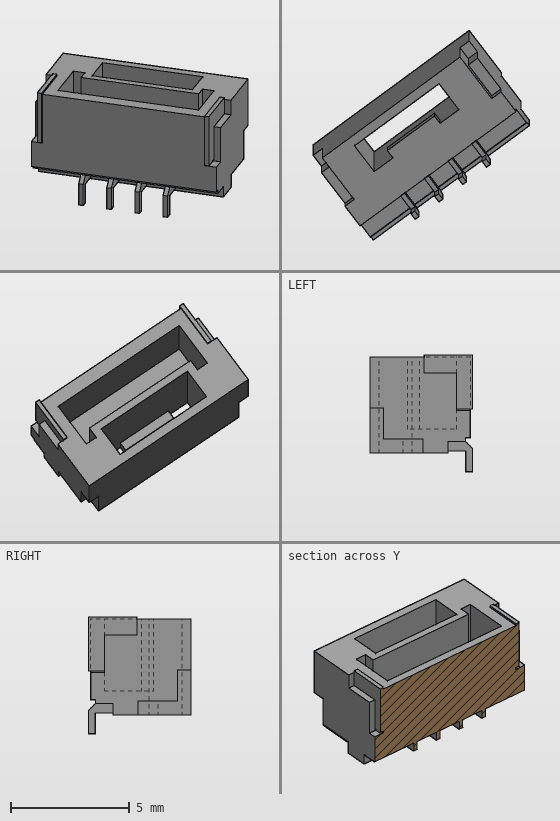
import cadquery as cq


width = 8.25
body_depth = 4.25
body_bottom = 0.8
body_top = 4.87
foot_depth = 3.31
pin_ceiling = 1.29
lip_depth = 4.05
lip_bottom = 1.44

plate_inset = 0.3
plate_thickness = 0.19
plate_back = 2.29
plate_leg_back = 3.66
plate_front = 4.35
plate_arm_bottom = 4.19
plate_bottom = 2.66
plate_top = 4.95
recess_bottom = 2.6
recess_width = plate_inset + plate_thickness

notch_leg_depth = 0.585
notch_depth = 2.24
notch_top = 2.71
notch_arm_top = 1.395

slot_width = 6.27
slot_back = 2.1
slot_front = 3.66
slot_floor = 1.815
groove_width = 0.51
groove_back = 1.6

window_width = 4.47
window_back = 0.4
window_front = 1.79
tab_width = 2.49
tab_back = 1.395
tab_top = 1.395

pin_count = 4
pin_pitch = 1.25
pin_width = 0.21
pin_arm_bottom = 0.88
pin_bend_bottom = 0.99


def box(x_min, x_max, back, front, bottom, top):
    """Block between two depths measured forward from the back face."""
    size = (x_max - x_min, front - back, top - bottom)
    return cq.Workplane("XY").box(*size, centered=False).translate((x_min, -front, bottom))


def centred_box(x_size, back, front, bottom, top):
    return box(-x_size / 2, x_size / 2, back, front, bottom, top)


def side_profile(points, x_start, x_size):
    """Extrude a (depth, height) outline along +X."""
    outline = [(-depth, height) for depth, height in points]
    return cq.Workplane("YZ", origin=(x_start, 0, 0)).polyline(outline).close().extrude(x_size)


def both_ends(shape):
    return shape.union(shape.mirror("YZ"))


def plate_outline(front, bottom):
    return [
        (plate_back, plate_top),
        (front, plate_top),
        (front, bottom),
        (plate_leg_back, bottom),
        (plate_leg_back, plate_arm_bottom),
        (plate_back, plate_arm_bottom),
    ]


def make_housing():
    outline = [
        (0, body_bottom),
        (foot_depth, body_bottom),
        (foot_depth, pin_ceiling),
        (lip_depth, pin_ceiling),
        (lip_depth, lip_bottom),
        (body_depth, lip_bottom),
        (body_depth, body_top),
        (0, body_top),
    ]
    return side_profile(outline, -width / 2, width)


def make_side_recesses():
    outline = plate_outline(plate_front, recess_bottom)
    return both_ends(side_profile(outline, -width / 2, recess_width))


def make_solder_plates():
    outline = plate_outline(plate_front, plate_bottom)
    return both_ends(side_profile(outline, -width / 2 + plate_inset, plate_thickness))


def make_rear_notches():
    outline = [
        (0, body_bottom),
        (notch_depth, body_bottom),
        (notch_depth, notch_arm_top),
        (notch_leg_depth, notch_arm_top),
        (notch_leg_depth, notch_top),
        (0, notch_top),
    ]
    return both_ends(side_profile(outline, -width / 2, recess_width))


def make_slot():
    slot = centred_box(slot_width, slot_back, slot_front, slot_floor, body_top)
    groove_start = -slot_width / 2
    groove_end = groove_start + groove_width
    groove = box(groove_start, groove_end, groove_back, slot_back, slot_floor, body_top)
    return slot.union(both_ends(groove))


def make_pin(x_centre):
    outline = [
        (foot_depth, pin_arm_bottom),
        (lip_depth, pin_arm_bottom),
        (lip_depth, 0),
        (plate_front, 0),
        (plate_front, pin_bend_bottom),
        (lip_depth, pin_ceiling),
        (foot_depth, pin_ceiling),
    ]
    return side_profile(outline, x_centre - pin_width / 2, pin_width)


window = centred_box(window_width, window_back, window_front, body_bottom, body_top)
latch_tab = centred_box(tab_width, tab_back, window_front, body_bottom, tab_top)

result = make_housing().cut(make_side_recesses()).cut(make_rear_notches())
result = result.cut(make_slot()).cut(window)
result = result.union(latch_tab).union(make_solder_plates())
for index in range(pin_count):
    result = result.union(make_pin((index - (pin_count - 1) / 2) * pin_pitch))